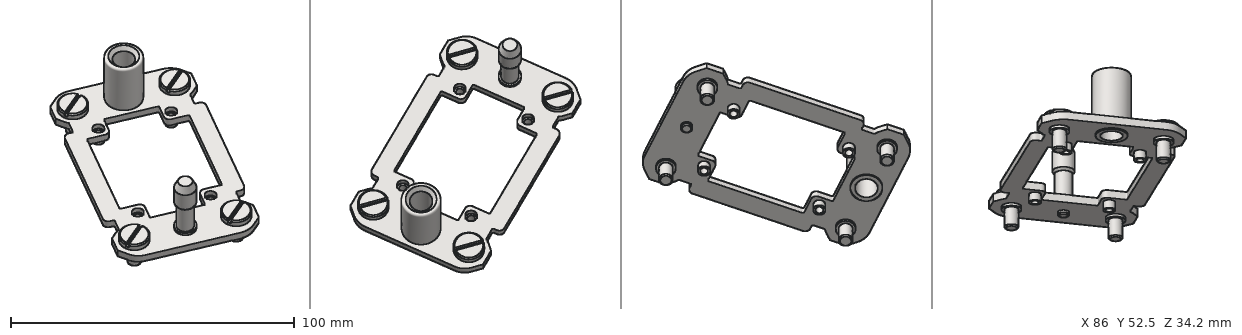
import cadquery as cq
import math

plate_length = 86.0
plate_width = 52.5
plate_thickness = 3.0
end_radius = 8.0
end_flat_half = 17.55
bevel_outer_x = 40.25
bevel_outer_y = 23.65
lobe_radius = 7.3
lobe_flat_x = 31.4
lobe_bevel = 2.15
notch_inner_x = 23.05
notch_depth = 3.7
notch_corner_radius = 2.0
notch_root_radius = 0.5

window_length = 51.6
window_short_width = 20.5
window_narrow_length = 36.6
window_width = 38.0
window_tab_radius = 2.0
window_corner_radius = 0.5
window_end_radius = 0.35

post_x = 34.3
screw_y = 18.9
head_radius = 5.5
head_height = 2.5
head_chamfer = 0.5
slot_width = 1.2
slot_depth = 1.4
slot_angle = -45.0
collar_radius = 3.5
collar_height = 1.0
shank_radius = 2.5
shank_length = 8.25
shank_chamfer = 0.5

sleeve_radius = 7.0
sleeve_height = 20.0
sleeve_edge = 0.8
bore_diameter = 8.0
bore_radius = bore_diameter / 2
bore_lead_in = 1.5
sleeve_foot_radius = 5.7
sleeve_foot_height = 0.5

pin_top = 26.0
pin_diameter = bore_diameter
pin_radius = pin_diameter / 2
pin_tip_radius = 2.6
pin_tip_height = 3.0
pin_body_height = 7.1
pin_undercut_height = 1.0
pin_neck_radius = 3.2
pin_collar_height = 1.0
pin_tail_radius = 2.1
pin_tail_length = 1.4
pin_tail_chamfer = 0.5

standoff_x = 22.0
standoff_y = 13.5
standoff_radius = 2.15
standoff_length = 3.0
counterbore_depth = 2.15
standoff_bore_radius = 1.4


def four_corners(x, y):
    return [(sx * x, sy * y) for sx in (-1, 1) for sy in (-1, 1)]


def disc(radius, bottom, top):
    return cq.Workplane("XY").workplane(offset=bottom).circle(radius).extrude(top - bottom)


def fillet_upright_edge(body, x, y, radius):
    """Round the vertical edge of a plate-thick body that stands at (x, y)."""
    middle = (x, y, plate_thickness / 2)
    return body.edges("|Z").edges(cq.selectors.NearestToPointSelector(middle)).fillet(radius)


def make_plate_blank():
    """One quarter of the outline, mirrored about both axes."""
    half_length = plate_length / 2
    half_width = plate_width / 2
    notch_floor_y = half_width - notch_depth
    lobe_start_angle = math.asin((half_width - lobe_bevel - screw_y) / lobe_radius)
    lobe_end_angle = math.asin((notch_floor_y - screw_y) / lobe_radius)

    def on_lobe(angle):
        return (post_x - lobe_radius * math.cos(angle), screw_y + lobe_radius * math.sin(angle))

    lobe_middle = on_lobe((lobe_start_angle + lobe_end_angle) / 2)
    lobe_end = on_lobe(lobe_end_angle)
    bevel_top_x = bevel_outer_x - (half_width - bevel_outer_y)

    quarter = (
        cq.Workplane("XY")
        .lineTo(half_length, 0)
        .lineTo(half_length, end_flat_half)
        .radiusArc((bevel_outer_x, bevel_outer_y), -end_radius)
        .lineTo(bevel_top_x, half_width)
        .lineTo(lobe_flat_x, half_width)
        .lineTo(*on_lobe(lobe_start_angle))
        .threePointArc(lobe_middle, lobe_end)
        .lineTo(notch_inner_x, notch_floor_y)
        .lineTo(notch_inner_x, half_width)
        .lineTo(0, half_width)
        .close()
        .extrude(plate_thickness)
    )
    quarter = fillet_upright_edge(quarter, *lobe_end, notch_root_radius)
    quarter = fillet_upright_edge(quarter, notch_inner_x, notch_floor_y, notch_root_radius)
    quarter = fillet_upright_edge(quarter, notch_inner_x, half_width, notch_corner_radius)
    half = quarter.union(quarter.mirror("XZ"))
    return half.union(half.mirror("YZ")).clean()


def make_window():
    flat_on_base = (True, True, False)
    wide = cq.Workplane("XY").box(
        window_length, window_short_width, plate_thickness, centered=flat_on_base
    )
    tall = cq.Workplane("XY").box(
        window_narrow_length, window_width, plate_thickness, centered=flat_on_base
    )
    wide = wide.edges("|Z").fillet(window_end_radius)
    tall = tall.edges("|Z").fillet(window_corner_radius)
    window = wide.union(tall)
    for x, y in four_corners(window_narrow_length / 2, window_short_width / 2):
        window = fillet_upright_edge(window, x, y, window_tab_radius)
    return window


def make_screw():
    """Slotted screw with a shoulder collar, standing on the Z axis."""
    head_top = plate_thickness + head_height
    slot_length = 3 * head_radius
    head = disc(head_radius, 0, head_top).faces(">Z").chamfer(head_chamfer)
    slot = (
        cq.Workplane("XY")
        .box(slot_length, slot_width, slot_depth, centered=(True, True, False))
        .rotate((0, 0, 0), (0, 0, 1), slot_angle)
        .translate((0, 0, head_top - slot_depth))
    )
    collar = disc(collar_radius, -collar_height, plate_thickness)
    shank = disc(shank_radius, -shank_length, plate_thickness).faces("<Z").chamfer(shank_chamfer)
    return head.cut(slot).union(collar).union(shank)


def make_sleeve():
    """Guide sleeve without its bore, standing on the Z axis."""
    barrel = disc(sleeve_radius, 0, plate_thickness + sleeve_height).faces(">Z").fillet(sleeve_edge)
    return barrel.union(disc(sleeve_foot_radius, -sleeve_foot_height, plate_thickness))


def make_sleeve_bore():
    """Through bore with a conical lead-in at the top of the sleeve."""
    top = plate_thickness + sleeve_height
    return (
        cq.Workplane("XZ")
        .moveTo(0, -sleeve_foot_height)
        .lineTo(bore_radius, -sleeve_foot_height)
        .lineTo(bore_radius, top - bore_lead_in)
        .lineTo(bore_radius + bore_lead_in, top)
        .lineTo(0, top)
        .close()
        .revolve(360, (0, 0), (0, 1))
    )


def make_pin():
    """Guide pin with a thick tapered tip and a tail riveted below the plate."""
    body_top = pin_top - pin_tip_height
    body_bottom = body_top - pin_body_height
    neck_top = body_bottom - pin_undercut_height
    collar_top = plate_thickness + pin_collar_height
    return (
        cq.Workplane("XZ")
        .moveTo(0, -pin_tail_length)
        .lineTo(pin_tail_radius - pin_tail_chamfer, -pin_tail_length)
        .lineTo(pin_tail_radius, pin_tail_chamfer - pin_tail_length)
        .lineTo(pin_tail_radius, plate_thickness)
        .lineTo(pin_radius, plate_thickness)
        .lineTo(pin_radius, collar_top)
        .lineTo(pin_neck_radius, collar_top)
        .lineTo(pin_neck_radius, neck_top)
        .lineTo(pin_radius, body_bottom)
        .lineTo(pin_radius, body_top)
        .lineTo(pin_tip_radius, pin_top)
        .lineTo(0, pin_top)
        .close()
        .revolve(360, (0, 0), (0, 1))
    )


result = make_plate_blank().cut(make_window())

screw = make_screw()
for x, y in four_corners(post_x, screw_y):
    result = result.union(screw.translate((x, y, 0)))

for x, y in four_corners(standoff_x, standoff_y):
    standoff = disc(standoff_radius, -standoff_length, plate_thickness)
    counterbore = disc(standoff_radius, plate_thickness - counterbore_depth, plate_thickness)
    bore = disc(standoff_bore_radius, -standoff_length, plate_thickness)
    result = result.union(standoff.translate((x, y, 0)))
    result = result.cut(counterbore.union(bore).translate((x, y, 0)))

result = result.union(make_sleeve().translate((-post_x, 0, 0)))
result = result.cut(make_sleeve_bore().translate((-post_x, 0, 0)))
result = result.union(make_pin().translate((post_x, 0, 0)))